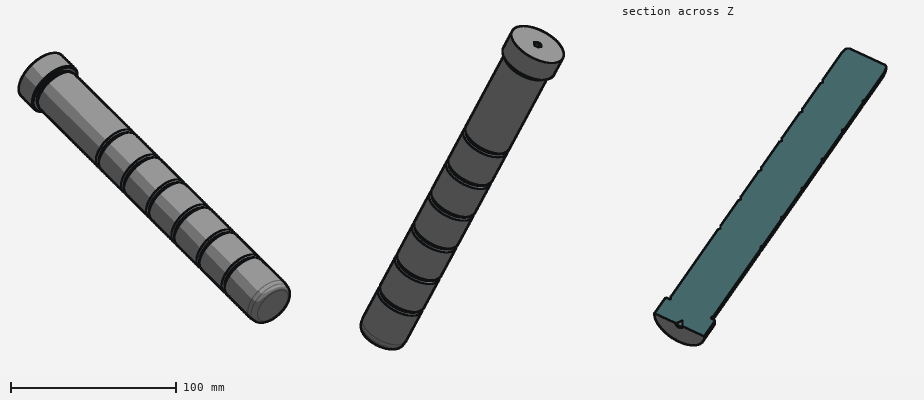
import cadquery as cq

length = 230.0
head_diameter = 35.0
head_length = 14.0
head_chamfer = 0.7
shaft_diameter = 30.0

relief_diameter = 28.8
relief_length = 1.2
relief_runout = 0.7

groove_count = 6
groove_pitch = 57.5 / 2.3
first_groove_x = 3 * groove_pitch
groove_width = 3.0
groove_depth = 1.0

taper_length = 2.8
taper_drop = 0.5
tip_round = 2.8

center_diameter = 5.0
center_cone_diameter = 3.7
center_chamfer_depth = 0.5

head_radius = head_diameter / 2
shaft_radius = shaft_diameter / 2


def make_body():
    """Revolve the stepped pin outline about the X axis."""
    relief_radius = relief_diameter / 2
    relief_end = head_length + relief_length
    round_start = length - tip_round
    taper_start = round_start - taper_length
    taper_radius = shaft_radius - taper_drop
    diagonal = tip_round / 2**0.5
    outline = (
        cq.Workplane("XZ")
        .lineTo(0, head_radius)
        .lineTo(head_length - head_chamfer, head_radius)
        .lineTo(head_length, head_radius - head_chamfer)
        .lineTo(head_length, relief_radius)
        .lineTo(relief_end, relief_radius)
        .lineTo(relief_end + relief_runout, shaft_radius)
        .lineTo(taper_start, shaft_radius)
        .lineTo(round_start, taper_radius)
        .threePointArc(
            (round_start + diagonal, taper_radius - tip_round + diagonal),
            (length, taper_radius - tip_round),
        )
        .lineTo(length, 0)
        .close()
    )
    return outline.revolve(360, (0, 0, 0), (1, 0, 0))


def make_groove(center_x):
    """V-shaped ring to cut around the shaft at center_x."""
    half_width = groove_width / 2
    overshoot = 2
    outline = cq.Workplane("XZ").polyline([
        (center_x, shaft_radius - groove_depth),
        (center_x - overshoot * half_width, shaft_radius + (overshoot - 1) * groove_depth),
        (center_x + overshoot * half_width, shaft_radius + (overshoot - 1) * groove_depth),
    ])
    return outline.close().revolve(360, (0, 0, 0), (1, 0, 0))


def make_center_drilling():
    """60 degree cone running to a point, with a flatter chamfer at its mouth."""
    cone_depth = center_cone_diameter / 2 * 3**0.5
    outline = cq.Workplane("XZ").polyline([
        (0, 0),
        (0, center_diameter / 2),
        (center_chamfer_depth, center_cone_diameter / 2),
        (center_chamfer_depth + cone_depth, 0),
    ])
    return outline.close().revolve(360, (0, 0, 0), (1, 0, 0))


result = make_body().cut(make_center_drilling())
for index in range(groove_count):
    result = result.cut(make_groove(first_groove_x + index * groove_pitch))